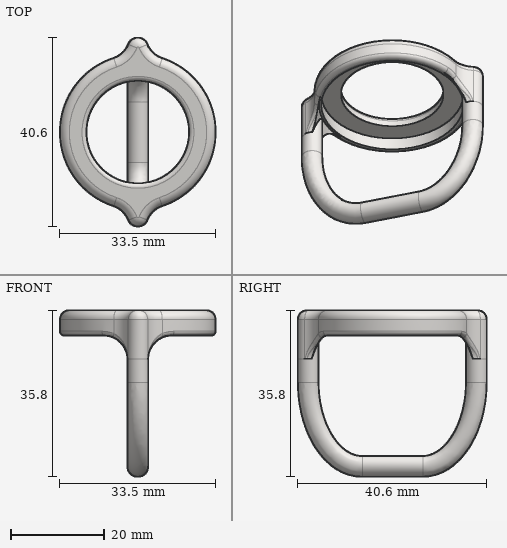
import cadquery as cq
import math

overall_length = 40.6
overall_height = 35.8
wire_diameter = 4.5
ring_diameter = 33.5
bore_diameter = 22.0
recess_diameter = 30.5
ring_thickness = 5.5
lip_thickness = 2.5
top_round = 2.0
small_round = 1.0
web_radius = 5.0
web_toe_radius = 17.45
leg_length = 15.45
crossbar_length = 13.0

wire_radius = wire_diameter / 2
ring_radius = ring_diameter / 2
leg_y = overall_length / 2 - wire_radius
crossbar_z = wire_radius - overall_height
web_depth = ring_thickness + web_radius
web_center_x = wire_radius + web_radius


def ring_outline():
    """Ring circle with a rounded tip at each leg, joined by tangent concave arcs."""
    center_distance = ring_radius + web_radius
    tip_distance = wire_radius + web_radius
    center_y = (center_distance**2 + leg_y**2 - tip_distance**2) / (2 * leg_y)
    center_x = math.sqrt(center_distance**2 - center_y**2)

    ring_share = ring_radius / center_distance
    tip_share = wire_radius / tip_distance
    ring_x, ring_y = center_x * ring_share, center_y * ring_share
    tip_x = center_x * tip_share
    tip_y = leg_y + (center_y - leg_y) * tip_share
    chord_x = (ring_x + tip_x) / 2 - center_x
    chord_y = (ring_y + tip_y) / 2 - center_y
    reach = web_radius / math.hypot(chord_x, chord_y)
    blend_x, blend_y = center_x + chord_x * reach, center_y + chord_y * reach

    return (
        cq.Workplane("XY")
        .moveTo(ring_x, -ring_y)
        .threePointArc((ring_radius, 0), (ring_x, ring_y))
        .threePointArc((blend_x, blend_y), (tip_x, tip_y))
        .threePointArc((0, overall_length / 2), (-tip_x, tip_y))
        .threePointArc((-blend_x, blend_y), (-ring_x, ring_y))
        .threePointArc((-ring_radius, 0), (-ring_x, -ring_y))
        .threePointArc((-blend_x, -blend_y), (-tip_x, -tip_y))
        .threePointArc((0, -overall_length / 2), (tip_x, -tip_y))
        .threePointArc((blend_x, -blend_y), (ring_x, -ring_y))
        .close()
    )


def ring_with_webs():
    """Ring plate whose underside sweeps down in a concave curve onto each leg."""
    side_profile = (
        cq.Workplane("XZ")
        .moveTo(-ring_radius, 0)
        .lineTo(ring_radius, 0)
        .lineTo(ring_radius, -ring_thickness)
        .lineTo(web_center_x, -ring_thickness)
        .radiusArc((wire_radius, -web_depth), -web_radius)
        .lineTo(-wire_radius, -web_depth)
        .radiusArc((-web_center_x, -ring_thickness), -web_radius)
        .lineTo(-ring_radius, -ring_thickness)
        .close()
        .extrude(overall_length / 2, both=True)
    )
    body = ring_outline().extrude(-web_depth).intersect(side_profile)
    body = body.faces(">Z").edges().fillet(top_round)
    body = body.edges("%BSPLINE").fillet(small_round)

    web_inside = cq.Solid.makeCone(
        web_toe_radius,
        ring_radius - small_round,
        web_radius,
        pnt=cq.Vector(0, 0, -web_depth),
    )
    return body.cut(cq.Workplane(web_inside))


def bail():
    """Round wire: straight legs, elliptical bends and a straight crossbar."""
    bend_width = leg_y - crossbar_length / 2
    bend_height = -leg_length - crossbar_z

    bend_path = (
        cq.Workplane("YZ", origin=(0, crossbar_length / 2, -leg_length))
        .ellipseArc(bend_width, bend_height, 270, 360, startAtCurrent=False)
    )
    bend = (
        cq.Workplane("XZ", origin=(0, crossbar_length / 2, crossbar_z))
        .circle(wire_radius)
        .sweep(bend_path)
    )
    leg = (
        cq.Workplane("XY", origin=(0, leg_y, -top_round))
        .circle(wire_radius)
        .extrude(top_round - leg_length)
    )
    half_bail = leg.union(bend)
    crossbar = (
        cq.Workplane("XZ", origin=(0, crossbar_length / 2, crossbar_z))
        .circle(wire_radius)
        .extrude(crossbar_length)
    )
    return crossbar.union(half_bail).union(half_bail.mirror("XZ"))


def bore():
    """Cutter for the round-edged hole in the lip and the wider recess below it."""
    recess_radius = recess_diameter / 2
    bore_radius = bore_diameter / 2
    mouth_radius = bore_radius + small_round
    return (
        cq.Workplane("XZ")
        .moveTo(0, 0)
        .lineTo(mouth_radius, 0)
        .radiusArc((bore_radius, -small_round), -small_round)
        .lineTo(bore_radius, -lip_thickness)
        .lineTo(recess_radius, -lip_thickness)
        .lineTo(recess_radius, -ring_thickness)
        .lineTo(0, -ring_thickness)
        .close()
        .revolve(360, (0, 0, 0), (0, 1, 0))
    )


result = ring_with_webs().union(bail()).cut(bore())